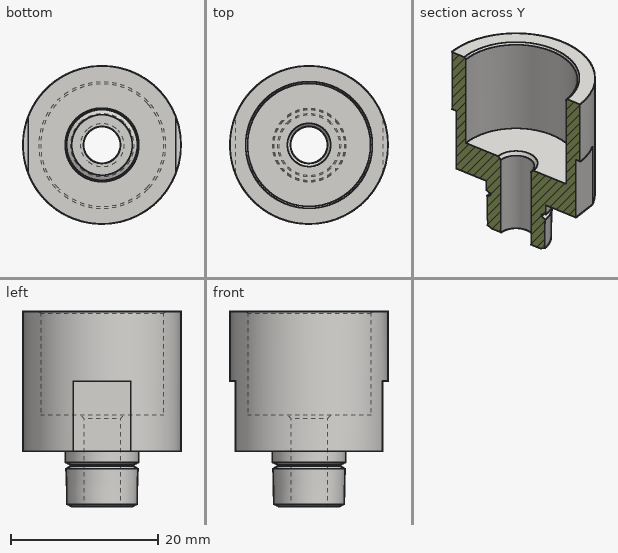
import cadquery as cq

total_height = 26.5
shoulder_z = 7.5

body_diameter = 21.5
flats_width = 20.0
flats_top_z = 17.0

bore_radius = 8.35
bore_depth = 14.05
bore_chamfer = 0.26

hole_radius = 2.5
hole_chamfer = 0.45

collar_radius = 5.0
collar_bottom_z = 6.02
groove_radius = 4.3
groove_top_z = 5.7
groove_bottom_z = 5.49
plug_top_radius = 4.9
plug_top_z = 5.11
plug_bottom_radius = 4.8
plug_bottom_z = 0.35
tip_radius = 4.1


def revolve_about_z(points):
    """Revolve a closed (radius, height) profile around the Z axis."""
    return cq.Workplane("XZ").polyline(points).close().revolve(360, (0, 0), (0, 1))


def make_outer_shape():
    body_radius = body_diameter / 2
    return revolve_about_z([
        (0, 0),
        (tip_radius, 0),
        (plug_bottom_radius, plug_bottom_z),
        (plug_top_radius, plug_top_z),
        (groove_radius, groove_bottom_z),
        (groove_radius, groove_top_z),
        (collar_radius, collar_bottom_z),
        (collar_radius, shoulder_z),
        (body_radius, shoulder_z),
        (body_radius, total_height),
        (0, total_height),
    ])


def make_cavity():
    """Chamfered cup bore with a countersunk hole through its floor."""
    floor_z = total_height - bore_depth
    return revolve_about_z([
        (0, 0),
        (hole_radius, 0),
        (hole_radius, floor_z - hole_chamfer),
        (hole_radius + hole_chamfer, floor_z),
        (bore_radius, floor_z),
        (bore_radius, total_height - bore_chamfer),
        (bore_radius + bore_chamfer, total_height),
        (0, total_height),
    ])


def make_flat_cutter(side):
    """Block that removes the body beyond one flat; side is -1 or +1 along X."""
    block_thickness = body_diameter - flats_width
    center_x = side * (flats_width + block_thickness) / 2
    return (
        cq.Workplane("XY", origin=(center_x, 0, shoulder_z))
        .box(block_thickness, body_diameter, flats_top_z - shoulder_z, centered=(True, True, False))
    )


result = make_outer_shape().cut(make_cavity())
for side in (-1, 1):
    result = result.cut(make_flat_cutter(side))